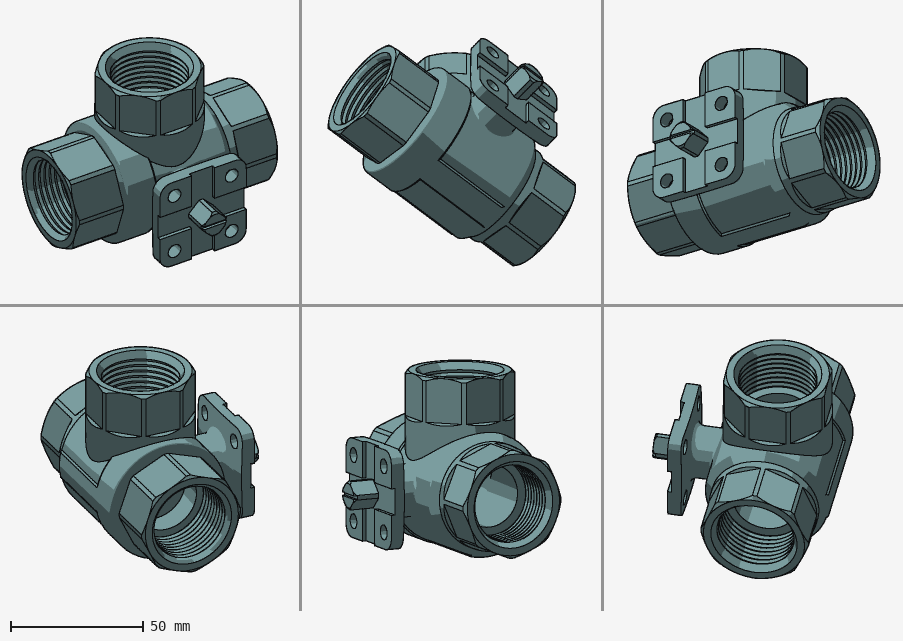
import cadquery as cq
import math


run_length = 89.5
rear_end = 44.9
front_end = rear_end - run_length
branch_end = 44.5
stem_end = 47.35

nut_flats = 39.0
nut_across_corners = nut_flats / math.cos(math.pi / 8)
nut_round_radius = 20.8
nut_length = 17.2
nut_runout = 0.8
octagon_half_step = 22.5
front_nut_turn = 3.0
nut_face_radius = nut_flats / 2
corner_cut = nut_round_radius - nut_face_radius
front_corner_cut_length = 0.7

collar_radius = 24.3
barrel_radius = 23.7
shoulder_start = 24.0
collar_rear = -11.3
collar_front = -23.9
collar_round = 1.0
collar_face_taper = 0.45
strip_width = 10.6
step_slope_length = 0.6
shoulder_round = 0.8

mouth_radius = 16.65
mouth_depth = 1.7
front_mouth_depth = 1.0
thread_root_radius = 15.6
thread_crest_radius = 14.9
thread_pitch = 2.3
thread_turns = 8
front_thread_turns = 9
port_depth = mouth_depth + thread_turns * thread_pitch
front_port_depth = front_mouth_depth + front_thread_turns * thread_pitch

ball_radius = 17.9
passage_radius = 12.0
front_opening_radius = 12.5

neck_radius = 10.0
neck_round = 0.8
flare_start = 29.5
flare_radius = 3.2
flange_back_slope = 4.0
flange_front = 38.7
flange_size = 38.3
flange_corner_radius = 5.1
flange_hole_spacing = 25.4
flange_hole_diameter = 5.6
key_width = 10.2
key_depth = 1.5

stem_flats = 8.95
stem_diameter = 11.0
stem_tip_cut = 0.8
stem_slot_width = 1.3
stem_slot_depth = 1.25


def turned(points):
    """Solid of revolution about Z from (radius, height) points."""
    return cq.Workplane("XZ").polyline(points).close().revolve(360, (0, 0), (0, 1))


def facing_rear(solid):
    """Turn a solid built along +Z so that it points along +Y."""
    return solid.rotate((0, 0, 0), (1, 0, 0), -90)


def facing_front(solid):
    """Turn a solid built along +Z so that it points along -Y."""
    return solid.rotate((0, 0, 0), (1, 0, 0), 90)


def octagon(height, length, turn, taper=0):
    """Octagon extruded along Z from a height, downwards when the length is negative."""
    return (
        cq.Workplane("XY", origin=(0, 0, height))
        .polygon(8, nut_across_corners)
        .extrude(length, taper=taper)
        .rotate((0, 0, 0), (0, 0, 1), turn)
    )


def nut_envelope(end, cut_length):
    """Cylinder along Z that rounds the octagon corners and chamfers their end."""
    return turned([
        (0, 0),
        (nut_round_radius, 0),
        (nut_round_radius, end - cut_length),
        (nut_face_radius, end),
        (0, end),
    ])


def plain_nut(end, turn):
    """Octagonal end that keeps its flats over the whole length."""
    return octagon(0, end, turn).intersect(nut_envelope(end, front_corner_cut_length))


def nut_with_neck(end, turn):
    """Octagonal end whose flats run out over short slopes onto a round neck."""
    nut_start = end - nut_length
    runout_angle = math.degrees(math.atan2(corner_cut, nut_runout))
    slopes = octagon(nut_start, -nut_start, turn, taper=-runout_angle)
    flats = octagon(nut_start, nut_length, turn)
    return nut_envelope(end, corner_cut).intersect(slopes.union(flats))


def threaded_port(end, mouth, turns):
    """Port cutter along Z: mouth chamfer, V thread rings and a flat floor."""
    points = [(0, end), (mouth_radius, end), (thread_root_radius, end - mouth)]
    for i in range(turns):
        root = end - mouth - i * thread_pitch
        points.append((thread_crest_radius, root - thread_pitch / 2))
        points.append((thread_root_radius, root - thread_pitch))
    points.append((0, points[-1][1]))
    return turned(points)


def barrel_of(radius, front):
    """Barrel along Y with a rounded 45 degree shoulder at its rear end."""
    shoulder_end = shoulder_start - (radius - nut_round_radius)
    barrel = turned([
        (0, front),
        (radius, front),
        (radius, shoulder_end),
        (nut_round_radius, shoulder_start),
        (0, shoulder_start),
    ])
    shoulder_edge = cq.selectors.NearestToPointSelector((0, 0, shoulder_end))
    return facing_rear(barrel.edges(shoulder_edge).fillet(shoulder_round))


def make_barrel():
    """Barrel along Y with its front collar and two raised strips."""
    collar = facing_front(
        cq.Workplane("XY")
        .workplane(offset=-collar_rear)
        .circle(collar_radius)
        .extrude(collar_rear - collar_front)
        .faces(">Z").edges().fillet(collar_round)
        .faces(">Z").workplane()
        .circle(collar_radius - collar_round)
        .workplane(offset=collar_face_taper)
        .circle(nut_round_radius)
        .loft(combine=True)
    )
    collar_slope = facing_rear(turned([
        (0, collar_rear),
        (collar_radius, collar_rear),
        (barrel_radius, collar_rear + step_slope_length),
        (0, collar_rear + step_slope_length),
    ]))
    top_half_width = strip_width / 2
    base_half_width = top_half_width + step_slope_length
    base_height = math.sqrt(barrel_radius**2 - base_half_width**2)
    top_height = math.sqrt(collar_radius**2 - top_half_width**2)
    bottom_strip = (
        cq.Workplane("XZ", origin=(0, rear_end, 0))
        .polyline([
            (-base_half_width, 0),
            (-base_half_width, -base_height),
            (-top_half_width, -top_height),
            (-top_half_width, -collar_radius),
            (top_half_width, -collar_radius),
            (top_half_width, -top_height),
            (base_half_width, -base_height),
            (base_half_width, 0),
        ])
        .close()
        .extrude(run_length)
    )
    side_strip = bottom_strip.rotate((0, 0, 0), (0, 1, 0), 90)
    strips = barrel_of(collar_radius, collar_rear).intersect(side_strip.union(bottom_strip))
    return barrel_of(barrel_radius, collar_rear).union(strips).union(collar_slope).union(collar)


def make_mount():
    """Neck and flared flange along +X, with holes and a cross keyway in the flange."""
    slope = math.radians(flange_back_slope)
    flare_centre = neck_radius + flare_radius
    flare_middle = (slope - math.pi / 2) / 2
    flare_end = (
        flare_start + flare_radius * math.cos(slope),
        flare_centre - flare_radius * math.sin(slope),
    )
    rim_radius = flange_size / math.sqrt(2)
    rim_back = flare_end[0] + (rim_radius - flare_end[1]) * math.tan(slope)
    turned_mount = (
        cq.Workplane("XY")
        .lineTo(0, neck_radius)
        .lineTo(flare_start, neck_radius)
        .threePointArc(
            (
                flare_start + flare_radius * math.cos(flare_middle),
                flare_centre + flare_radius * math.sin(flare_middle),
            ),
            flare_end,
        )
        .lineTo(rim_back, rim_radius)
        .lineTo(flange_front, rim_radius)
        .lineTo(flange_front, 0)
        .close()
        .revolve(360, (0, 0), (1, 0))
    )
    flange_outline = (
        cq.Workplane("YZ")
        .rect(flange_size, flange_size)
        .extrude(flange_front)
        .edges("|X").fillet(flange_corner_radius)
    )
    holes = (
        cq.Workplane("YZ")
        .workplane(offset=flare_start)
        .rect(flange_hole_spacing, flange_hole_spacing, forConstruction=True)
        .vertices()
        .circle(flange_hole_diameter / 2)
        .extrude(flange_front - flare_start)
    )
    key_plane = cq.Workplane("YZ").workplane(offset=flange_front - key_depth)
    keyways = (
        key_plane.rect(flange_size, key_width).extrude(key_depth)
        .union(key_plane.rect(key_width, flange_size).extrude(key_depth))
    )
    return turned_mount.intersect(flange_outline).cut(holes).cut(keyways)


def make_stem():
    """Square stem along +X with rounded corners and a slotted tip."""
    length = stem_end - flare_start
    square = (
        cq.Workplane("YZ")
        .workplane(offset=flare_start)
        .transformed(rotate=(0, 0, 45))
        .rect(stem_flats, stem_flats)
        .extrude(length)
    )
    envelope = (
        cq.Workplane("YZ")
        .workplane(offset=flare_start)
        .circle(stem_diameter / 2)
        .extrude(length)
        .faces(">X").chamfer(stem_tip_cut)
    )
    slot = cq.Workplane("XY").box(
        2 * stem_slot_depth, stem_diameter, stem_slot_width
    ).translate((stem_end, 0, 0))
    return square.intersect(envelope).cut(slot)


def make_passages():
    """Elbow through the ball from the branch to the rear, and the blocked front opening."""
    branch_bore = cq.Workplane("XY").circle(passage_radius).extrude(branch_end - port_depth)
    rear_bore = facing_rear(
        cq.Workplane("XY").circle(passage_radius).extrude(rear_end - port_depth)
    )
    elbow = cq.Workplane("XY").sphere(passage_radius)
    front_bore = facing_front(
        cq.Workplane("XY").circle(front_opening_radius).extrude(-front_end - front_port_depth)
    ).cut(cq.Workplane("XY").sphere(ball_radius))
    return branch_bore.union(rear_bore).union(elbow).union(front_bore)


outside = make_barrel().union(make_mount())
neck_root = cq.selectors.BoxSelector(
    (0, -neck_radius - neck_round, -neck_radius - neck_round),
    (barrel_radius + neck_round, neck_radius + neck_round, neck_radius + neck_round),
    boundingbox=True,
)
outside = outside.edges(neck_root).fillet(neck_round)
outside = outside.union(nut_with_neck(branch_end, octagon_half_step))
outside = outside.union(facing_rear(nut_with_neck(rear_end, 0)))
outside = outside.union(facing_front(plain_nut(-front_end, front_nut_turn)))
outside = outside.union(make_stem())

result = outside.cut(make_passages())
result = result.cut(threaded_port(branch_end, mouth_depth, thread_turns))
result = result.cut(facing_rear(threaded_port(rear_end, mouth_depth, thread_turns)))
result = result.cut(
    facing_front(threaded_port(-front_end, front_mouth_depth, front_thread_turns))
)